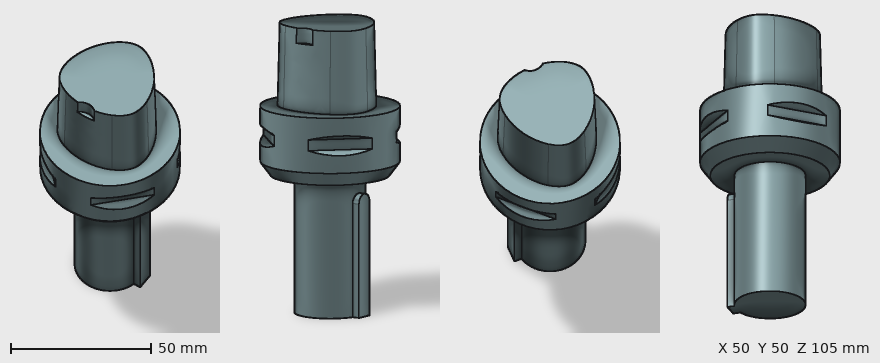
import cadquery as cq
import math

total_height = 105.0
shank_length = 50.0
flange_top = 75.0

shank_radius = 12.7
flange_radius = 25.0
flange_base_radius = 21.3
flange_bevel_height = 4.9

taper_length = total_height - flange_top
taper_ratio = 1 / 20
taper_base_radius = 17.6
taper_tip_radius = taper_base_radius - taper_length * taper_ratio / 2
lobe_height = 1.2
lobe_count = 3
first_lobe_angle = 90
lobe_half_angle = 35.6
points_per_face = 7

groove_count = 4
groove_first_angle = 45
groove_middle_z = 64.9
groove_floor_distance = 22.2
groove_floor_width = 3.9
groove_flank_angle = 30
groove_overrun = 1.0

notch_radius = 5.0
notch_inner_y = -14.1
notch_depth = 5.5

key_outer_x = 15.0
key_half_width = 3.3
key_top = 44.6


def lobed_point(mean_radius, angle):
    """Point and tangent of the constant-width outline whose normal has this angle."""
    normal = math.radians(angle)
    phase = math.radians(lobe_count * (angle - first_lobe_angle))
    support = mean_radius + lobe_height * math.cos(phase)
    slope = -lobe_count * lobe_height * math.sin(phase)
    x = support * math.cos(normal) - slope * math.sin(normal)
    y = support * math.sin(normal) + slope * math.cos(normal)
    return (x, y), (-math.sin(normal), math.cos(normal))


def add_lobed_outline(plane, mean_radius):
    """Closed outline of alternating lobe faces and flatter faces."""
    lobe_pitch = 360 / lobe_count
    start_angle = first_lobe_angle - lobe_half_angle
    start_point, _ = lobed_point(mean_radius, start_angle)
    outline = plane.moveTo(*start_point)
    face_spans = [2 * lobe_half_angle, lobe_pitch - 2 * lobe_half_angle] * lobe_count
    for span in face_spans:
        step = span / (points_per_face - 1)
        samples = [lobed_point(mean_radius, start_angle + i * step) for i in range(points_per_face)]
        outline = outline.spline(
            [point for point, _ in samples[1:]],
            tangents=[samples[0][1], samples[-1][1]],
            includeCurrent=True,
        )
        start_angle += span
    return outline.close()


def make_round_body():
    """Shank and bevelled flange, turned about Z."""
    profile = [
        (0, 0),
        (shank_radius, 0),
        (shank_radius, shank_length),
        (flange_base_radius, shank_length),
        (flange_radius, shank_length + flange_bevel_height),
        (flange_radius, flange_top),
        (0, flange_top),
    ]
    return cq.Workplane("XZ").polyline(profile).close().revolve(360, (0, 0), (0, 1))


def make_taper():
    """Loft between the outlines at the flange and at the tip."""
    base = add_lobed_outline(cq.Workplane("XY", origin=(0, 0, flange_top)), taper_base_radius)
    tip = add_lobed_outline(cq.Workplane("XY", origin=(0, 0, total_height)), taper_tip_radius)
    outlines = [base.wires().val(), tip.wires().val()]
    return cq.Workplane(cq.Solid.makeLoft(outlines, True))


def make_groove(angle):
    """Straight trapezoidal groove that widens outward."""
    outer_distance = flange_radius + groove_overrun
    depth = outer_distance - groove_floor_distance
    floor_half = groove_floor_width / 2
    mouth_half = floor_half + depth * math.tan(math.radians(groove_flank_angle))
    section = [
        (groove_floor_distance, groove_middle_z - floor_half),
        (outer_distance, groove_middle_z - mouth_half),
        (outer_distance, groove_middle_z + mouth_half),
        (groove_floor_distance, groove_middle_z + floor_half),
    ]
    groove = cq.Workplane("XZ").polyline(section).close().extrude(flange_radius, both=True)
    return groove.rotate((0, 0, 0), (0, 0, 1), angle)


def make_notch():
    return (
        cq.Workplane("XY", origin=(0, notch_inner_y - notch_radius, total_height - notch_depth))
        .circle(notch_radius)
        .extrude(notch_depth)
    )


def make_key():
    """Key from the shank axis outward, with a half-round upper end."""
    return (
        cq.Workplane("YZ")
        .moveTo(-key_half_width, 0)
        .lineTo(key_half_width, 0)
        .lineTo(key_half_width, key_top - key_half_width)
        .threePointArc((0, key_top), (-key_half_width, key_top - key_half_width))
        .close()
        .extrude(key_outer_x)
    )


result = make_round_body().union(make_taper()).union(make_key()).cut(make_notch())
for index in range(groove_count):
    result = result.cut(make_groove(groove_first_angle + index * 360 / groove_count))